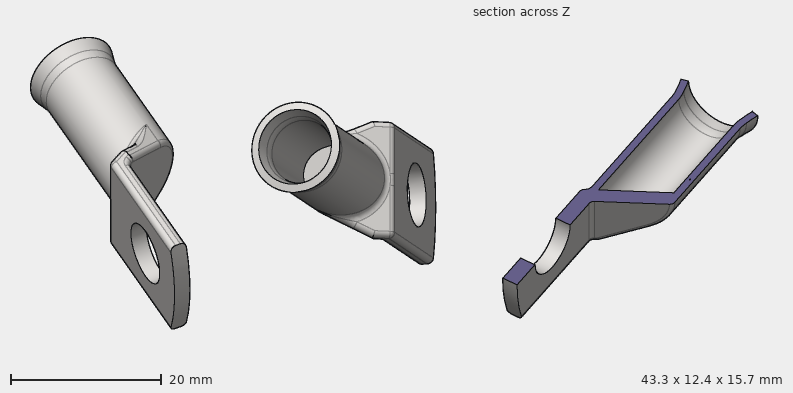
import cadquery as cq
import math


BARREL_RADIUS = 5.4
WALL = 1.1
BORE_RADIUS = BARREL_RADIUS - WALL

FLARE_ANGLE = math.radians(15)
FLARE_RADIUS = 6.1
FLARE_BEND_RADIUS = 5.0

LENGTH = 43.3
PALM_WIDTH = 15.7
PALM_THICKNESS = 2.3
PALM_BACK_Y = -6.3
HALF_WIDTH = PALM_WIDTH / 2
PALM_FRONT_Y = PALM_BACK_Y + PALM_THICKNESS
PALM_CORNER_X = 42.0
HOLE_X = 34.65
HOLE_DIAMETER = 8.5

SLOPE_ANGLE = math.radians(60)
BACK_BEND_X = 24.1
FRONT_BEND_X = 25.3
SHOULDER_CORNER_Y = -3.5

EDGE_RADIUS = 0.8
BEND_RADIUS = 0.8
BARREL_BLEND_RADIUS = 1.1

ROUND_END_GAP = 0.3

MARGIN = 5.0

SLOPE_NORMAL = cq.Vector(math.sin(SLOPE_ANGLE), math.cos(SLOPE_ANGLE), 0)

TIP_X = WALL * math.sin(FLARE_ANGLE)
MOUTH_RADIUS = FLARE_RADIUS - WALL * math.cos(FLARE_ANGLE)
ARC_RISE = FLARE_BEND_RADIUS * (1 - math.cos(FLARE_ANGLE))
CONE_LENGTH = (FLARE_RADIUS - BARREL_RADIUS - ARC_RISE) / math.tan(FLARE_ANGLE)
FLARE_END_X = TIP_X + CONE_LENGTH + FLARE_BEND_RADIUS * math.sin(FLARE_ANGLE)
BEND_CENTRE_RADIUS = BARREL_RADIUS + FLARE_BEND_RADIUS

CORNER_ANGLE = math.atan2(HALF_WIDTH, SHOULDER_CORNER_Y)
CORNER_DISTANCE = math.hypot(SHOULDER_CORNER_Y, HALF_WIDTH)
TANGENT_ANGLE = CORNER_ANGLE - math.acos(BARREL_RADIUS / CORNER_DISTANCE)
TANGENT_Y = BARREL_RADIUS * math.cos(TANGENT_ANGLE)
TANGENT_Z = BARREL_RADIUS * math.sin(TANGENT_ANGLE)


def slope_x(bend_x, bend_y, y):
    """X at height y of the sloped plane that leaves the palm at (bend_x, bend_y)."""
    return bend_x - (y - bend_y) / math.tan(SLOPE_ANGLE)


def back_x(y):
    return slope_x(BACK_BEND_X, PALM_BACK_Y, y)


def front_x(y):
    return slope_x(FRONT_BEND_X, PALM_FRONT_Y, y)


def bent_strip():
    """Sloped shoulder and palm in one strip, wider and taller than the finished plate."""
    top_y = BARREL_RADIUS + MARGIN
    return (
        cq.Workplane("XY")
        .moveTo(BACK_BEND_X, PALM_BACK_Y)
        .lineTo(LENGTH + MARGIN, PALM_BACK_Y)
        .lineTo(LENGTH + MARGIN, PALM_FRONT_Y)
        .lineTo(FRONT_BEND_X, PALM_FRONT_Y)
        .lineTo(front_x(top_y), top_y)
        .lineTo(back_x(top_y), top_y)
        .close()
        .extrude(HALF_WIDTH + MARGIN, both=True)
    )


def barrel_core():
    """Solid barrel cylinder, cut off along the back plane of the sloped shoulder."""
    bottom_y = -BARREL_RADIUS - MARGIN
    top_y = BARREL_RADIUS + MARGIN
    keep = (
        cq.Workplane("XY")
        .polyline([
            (FLARE_END_X, bottom_y),
            (back_x(bottom_y), bottom_y),
            (back_x(top_y), top_y),
            (FLARE_END_X, top_y),
        ])
        .close()
        .extrude(BARREL_RADIUS + MARGIN, both=True)
    )
    cylinder = (
        cq.Workplane("YZ", origin=(FLARE_END_X, 0, 0))
        .circle(BARREL_RADIUS)
        .extrude(LENGTH)
    )
    return cylinder.intersect(keep)


def flare_point(bend_radius, angle):
    """(x, radius) on a flare bend of the given radius; angle 0 meets the straight barrel."""
    x = FLARE_END_X - bend_radius * math.sin(angle)
    return (x, BEND_CENTRE_RADIUS - bend_radius * math.cos(angle))


def flare():
    inner_bend = FLARE_BEND_RADIUS + WALL
    half = FLARE_ANGLE / 2
    return (
        cq.Workplane("XZ")
        .moveTo(0, MOUTH_RADIUS)
        .lineTo(TIP_X, FLARE_RADIUS)
        .lineTo(*flare_point(FLARE_BEND_RADIUS, FLARE_ANGLE))
        .threePointArc(flare_point(FLARE_BEND_RADIUS, half), flare_point(FLARE_BEND_RADIUS, 0))
        .lineTo(*flare_point(inner_bend, 0))
        .threePointArc(flare_point(inner_bend, half), flare_point(inner_bend, FLARE_ANGLE))
        .close()
        .revolve(360, (0, 0, 0), (1, 0, 0))
    )


def outline():
    """Shape along X: barrel circle with tangent flanks running out to the palm width."""
    depth = LENGTH + MARGIN
    flanks = (
        cq.Workplane("YZ")
        .moveTo(PALM_BACK_Y, -HALF_WIDTH)
        .lineTo(SHOULDER_CORNER_Y, -HALF_WIDTH)
        .lineTo(TANGENT_Y, -TANGENT_Z)
        .lineTo(TANGENT_Y, TANGENT_Z)
        .lineTo(SHOULDER_CORNER_Y, HALF_WIDTH)
        .lineTo(PALM_BACK_Y, HALF_WIDTH)
        .close()
        .extrude(depth)
    )
    return flanks.union(cq.Workplane("YZ").circle(BARREL_RADIUS).extrude(depth))


def sharp_body():
    """Barrel blended into the bent plate, trimmed to the outline, plate edges still sharp."""
    joined = bent_strip().union(barrel_core())
    blended = joined.edges("%ELLIPSE").fillet(BARREL_BLEND_RADIUS)
    return blended.intersect(outline())


def half_space_below(y):
    """Block holding everything of the lug below height y."""
    size = 2 * (LENGTH + MARGIN)
    return cq.Workplane("XY").box(size, size, size).translate((0, y - size / 2, 0))


def round_back_edges(body):
    """Round the back of the plate; the rounds die out where the flanks meet the barrel."""
    lower_space = half_space_below(TANGENT_Y - ROUND_END_GAP)
    lower_part = body.intersect(lower_space)
    upper_part = body.cut(lower_space)
    back_slope = cq.selectors.DirectionNthSelector(SLOPE_NORMAL, 0)
    slope_edges = lower_part.faces(back_slope).edges("%LINE")
    palm_edges = lower_part.faces("<Y").edges("|X")
    rounded = slope_edges.add(palm_edges).fillet(EDGE_RADIUS)
    return rounded.union(upper_part)


def round_front_edges(body):
    """Round the inner bend, then the front edges of shoulder and palm."""
    bend = cq.selectors.NearestToPointSelector((FRONT_BEND_X, PALM_FRONT_Y, 0))
    body = body.edges(bend).fillet(BEND_RADIUS)
    front_slope = cq.selectors.DirectionNthSelector(SLOPE_NORMAL, -1)
    slope_edges = body.faces(front_slope).edges("not |Z")
    palm_front = cq.selectors.NearestToPointSelector(((FRONT_BEND_X + LENGTH) / 2, PALM_FRONT_Y, 0))
    palm_edges = body.faces(palm_front).edges("|X")
    return slope_edges.add(palm_edges).fillet(EDGE_RADIUS)


def palm_end_trim():
    """Keeps everything up to the bowed palm end."""
    return (
        cq.Workplane("XZ", origin=(0, PALM_BACK_Y - MARGIN, 0))
        .moveTo(0, -HALF_WIDTH)
        .lineTo(PALM_CORNER_X, -HALF_WIDTH)
        .threePointArc((LENGTH, 0), (PALM_CORNER_X, HALF_WIDTH))
        .lineTo(0, HALF_WIDTH)
        .close()
        .extrude(-2 * (FLARE_RADIUS + MARGIN))
    )


def bore():
    """Blind bore ending on the plane of the shoulder's back face."""
    return (
        cq.Workplane("XY")
        .moveTo(0, -BORE_RADIUS)
        .lineTo(back_x(-BORE_RADIUS), -BORE_RADIUS)
        .lineTo(back_x(BORE_RADIUS), BORE_RADIUS)
        .lineTo(0, BORE_RADIUS)
        .close()
        .extrude(BORE_RADIUS, both=True)
        .intersect(cq.Workplane("YZ").circle(BORE_RADIUS).extrude(LENGTH))
    )


def stud_hole():
    return (
        cq.Workplane("XZ", origin=(HOLE_X, PALM_BACK_Y - MARGIN, 0))
        .circle(HOLE_DIAMETER / 2)
        .extrude(-2 * MARGIN)
    )


lug = round_back_edges(round_front_edges(sharp_body()))
lug = lug.intersect(palm_end_trim()).cut(bore()).cut(stud_hole())
result = lug.union(flare())